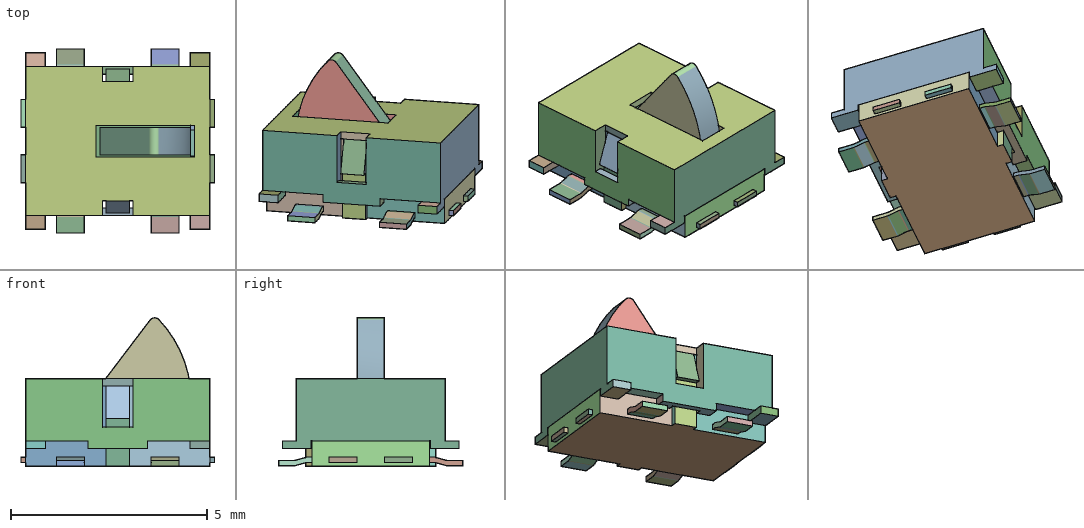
import cadquery as cq
import math

cover_length = 4.69
cover_width = 3.8
cover_top = 2.235
wall = 0.38
roof = 0.185
roof_underside = cover_top - roof
skirt_bottom = 0.65
lip_bottom = 0.45
lip_length = 1.51
cavity_length = cover_length - 2 * wall
cavity_width = cover_width - 2 * wall

tab_length = 0.5
tab_outer_y = 2.25

notch_length = 0.77
notch_inner_y = cavity_width / 2
notch_sill = 1.0
channel_outer_y = 1.7

slot_left = -0.56
slot_right = 1.95
slot_width = 0.8

base_width = 3.0
hook_length = 0.61
hook_stem_y = 1.66
hook_nose_y = 1.83
hook_nose_bottom = 1.215

terminal_width = 0.715
terminal_thickness = 0.14
terminal_bottom = 0.095
terminal_drop = 0.08
foot_pitch = 2.415
foot_bend_start_y = 1.64
foot_bend_end_y = 1.93
foot_end_y = 2.345
foot_bend_radius = 0.1
stub_pitch = 1.41
stub_end_x = 2.465

lever_width = 0.7
lever_top = 3.785
lever_left = -0.45
tip_radius = 0.15
tip_x = 0.94
tip_z = lever_top - tip_radius
arc_center_x = -1.13
arc_center_z = 1.67

flange_left = -0.8
flange_width = 1.0
flange_thickness = 0.4

relief_front_y = -0.385
relief_back_y = 0.28
relief_depth = 0.2

arc_radius = math.hypot(tip_x - arc_center_x, tip_z - arc_center_z) + tip_radius
lever_right = arc_center_x + math.sqrt(arc_radius**2 - (roof_underside - arc_center_z) ** 2)


def block(x0, x1, y0, y1, z0, z1):
    """Axis-aligned box between the given limits."""
    return cq.Workplane("XY").box(x1 - x0, y1 - y0, z1 - z0, centered=False).translate((x0, y0, z0))


def centred_block(length, width, z0, z1):
    """Box centred on the Z axis."""
    return block(-length / 2, length / 2, -width / 2, width / 2, z0, z1)


def extrude_along_x(points, length, x_center):
    """Extrude an outline of (y, z) points symmetrically about x_center."""
    outline = cq.Workplane("YZ").polyline(points).close()
    return outline.extrude(length / 2, both=True).translate((x_center, 0, 0))


def front_and_back(shape):
    """The shape together with its mirror image in the XZ plane."""
    return shape.union(shape.mirror("XZ"))


def make_cover():
    cover = centred_block(cover_length, cover_width, skirt_bottom, cover_top)
    lips = centred_block(lip_length, cover_width, lip_bottom, skirt_bottom)
    cover = cover.union(lips)
    cover = cover.cut(centred_block(cavity_length, cavity_width, lip_bottom, roof_underside))

    half_length = cover_length / 2
    for tab_left in (-half_length, half_length - tab_length):
        tab = block(tab_left, tab_left + tab_length, cavity_width / 2, tab_outer_y, lip_bottom, skirt_bottom)
        cover = cover.union(front_and_back(tab))

    half_notch = notch_length / 2
    notch = block(-half_notch, half_notch, notch_inner_y, cover_width / 2, notch_sill, cover_top)
    cover = cover.cut(front_and_back(notch))

    channel = block(-half_notch, half_notch, 0, channel_outer_y, lip_bottom, notch_sill)
    cover = cover.cut(front_and_back(channel))

    slot = block(slot_left, slot_right, -slot_width / 2, slot_width / 2, roof_underside, cover_top)
    return cover.cut(slot)


def make_hook():
    """Snap hook on the +Y side: a stem with a sloped nose that reaches over the window sill."""
    points = [
        (0, 0),
        (hook_stem_y, 0),
        (hook_stem_y, hook_nose_bottom),
        (hook_nose_y, hook_nose_bottom),
        (notch_inner_y, roof_underside),
        (0, roof_underside),
    ]
    return extrude_along_x(points, hook_length, 0)


def make_foot(x_center):
    """Terminal on the +Y side, bent down to the board and then flat."""
    upper = terminal_bottom + terminal_thickness
    points = [
        (0, terminal_bottom),
        (foot_bend_start_y, terminal_bottom),
        (foot_bend_end_y, terminal_bottom - terminal_drop),
        (foot_end_y, terminal_bottom - terminal_drop),
        (foot_end_y, upper - terminal_drop),
        (foot_bend_end_y, upper - terminal_drop),
        (foot_bend_start_y, upper),
        (0, upper),
    ]
    foot = extrude_along_x(points, terminal_width, x_center)

    for y, z in points[1:3] + points[5:7]:
        bend_edge = cq.selectors.NearestToPointSelector((x_center, y, z))
        foot = foot.edges("|X").edges(bend_edge).fillet(foot_bend_radius)
    return foot


def make_base():
    base = centred_block(cover_length, base_width, 0, skirt_bottom)
    base = base.union(centred_block(cavity_length, base_width, skirt_bottom, roof_underside))
    base = base.union(front_and_back(make_hook()))

    for side in (-1, 1):
        base = base.union(front_and_back(make_foot(side * foot_pitch / 2)))
        stub_top = terminal_bottom + terminal_thickness
        stubs = centred_block(2 * stub_end_x, terminal_width, terminal_bottom, stub_top)
        base = base.union(stubs.translate((0, side * stub_pitch / 2, 0)))

    relief_floor = roof_underside - relief_depth
    relief = block(
        lever_right, cavity_length / 2, relief_front_y, relief_back_y, relief_floor, roof_underside
    )
    return base.cut(make_flange()).cut(relief)


def make_flange():
    return block(
        flange_left,
        lever_right,
        -flange_width / 2,
        flange_width / 2,
        roof_underside - flange_thickness,
        roof_underside,
    )


def make_lever():
    """Wedge with a sloped face, a rounded tip and a curved face, standing on its flange."""

    def tip_point(angle):
        return (tip_x + tip_radius * math.cos(angle), tip_z + tip_radius * math.sin(angle))

    def arc_point(angle):
        return (arc_center_x + arc_radius * math.cos(angle), arc_center_z + arc_radius * math.sin(angle))

    to_tip = math.atan2(tip_z - roof_underside, tip_x - lever_left)
    tip_distance = math.hypot(tip_z - roof_underside, tip_x - lever_left)
    slope_normal = to_tip + math.asin(tip_radius / tip_distance) + math.pi / 2
    join_angle = math.atan2(tip_z - arc_center_z, tip_x - arc_center_x)
    foot_angle = math.asin((roof_underside - arc_center_z) / arc_radius)

    wedge = (
        cq.Workplane("XZ")
        .moveTo(lever_left, roof_underside)
        .lineTo(*tip_point(slope_normal))
        .threePointArc(tip_point((slope_normal + join_angle) / 2), tip_point(join_angle))
        .threePointArc(arc_point((join_angle + foot_angle) / 2), (lever_right, roof_underside))
        .close()
        .extrude(lever_width / 2, both=True)
    )
    return wedge.union(make_flange())


cover = make_cover()
base = make_base()
lever = make_lever()

result = cq.Compound.makeCompound([cover.val(), base.val(), lever.val()])